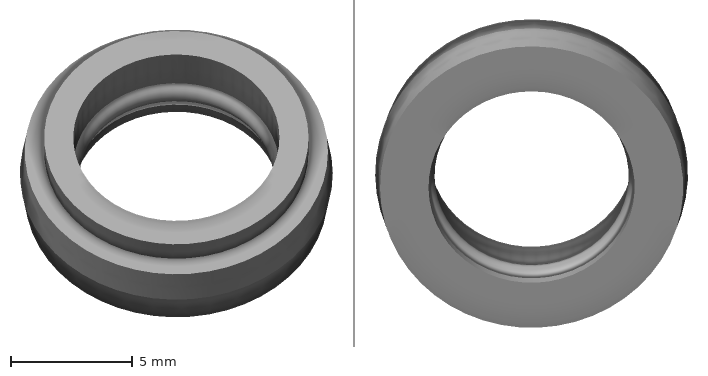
import cadquery as cq

total_height = 4.0
hub_height = 1.0
hub_radius = 5.45
rim_radius = 6.45
rim_taper = 0.2
shoulder_z = total_height - hub_height
rim_mid_z = shoulder_z / 2
shoulder_radius = rim_radius - rim_taper

bore_radius = 4.25
groove_bottom_z = 0.5
groove_width = 1.5
groove_top_z = groove_bottom_z + groove_width

seal_section_radius = 0.5
seal_protrusion = 0.25
seal_inner_radius = bore_radius - seal_protrusion
seal_center_radius = seal_inner_radius + seal_section_radius
seal_center_z = (groove_bottom_z + groove_top_z) / 2
groove_radius = seal_center_radius + seal_section_radius


def make_housing():
    """Double-tapered ring with a raised hub and a rectangular groove in its bore."""
    profile = [
        (bore_radius, 0),
        (shoulder_radius, 0),
        (rim_radius, rim_mid_z),
        (shoulder_radius, shoulder_z),
        (hub_radius, shoulder_z),
        (hub_radius, total_height),
        (bore_radius, total_height),
        (bore_radius, groove_top_z),
        (groove_radius, groove_top_z),
        (groove_radius, groove_bottom_z),
        (bore_radius, groove_bottom_z),
    ]
    return cq.Workplane("XZ").polyline(profile).close().revolve(360, (0, 0), (0, 1))


def make_seal_ring():
    """O-ring centred in the height of the groove."""
    section_inner = (seal_inner_radius, seal_center_z)
    section_top = (seal_center_radius, seal_center_z + seal_section_radius)
    section_outer = (groove_radius, seal_center_z)
    section_bottom = (seal_center_radius, seal_center_z - seal_section_radius)
    return (
        cq.Workplane("XZ")
        .moveTo(*section_inner)
        .threePointArc(section_top, section_outer)
        .threePointArc(section_bottom, section_inner)
        .close()
        .revolve(360, (0, 0), (0, 1), clean=False)
    )


housing = make_housing()
seal_ring = make_seal_ring()

result = cq.Compound.makeCompound([housing.val(), seal_ring.val()])